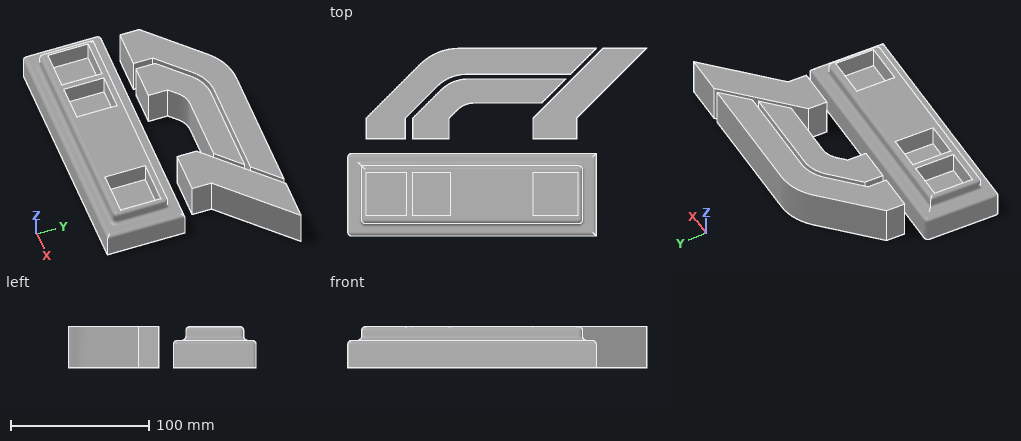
import cadquery as cq
import math

base_length = 180.0
base_width = 60.0
base_height = 20.0
step_height = 10.0
step_margin_end = 10.0
step_margin_side = 9.0
step_length = base_length - 2 * step_margin_end
step_width = base_width - 2 * step_margin_side
block_height = base_height + step_height
edge_radius = 3.0

bar_height = 30.0
bar_lift = 0.09
overall_width = 136.09
overall_length = 216.5
foot_front = base_width + 10.5
foot_length = 14.9
foot_back = foot_front + foot_length
bars_back = overall_width
bend_half_angle = math.radians(45 / 2)

slash_width = 31.8
slash_foot_right = overall_length - (bars_back - foot_back)
slash_foot_left = slash_foot_right - slash_width

slash_gap = 4.5

outer_foot_left = 13.3
outer_foot_width = 28.4
outer_arm_thickness = 19.0
outer_bend_radius = 40.0
outer_inside_radius = 30.0

arm_gap = 3.2
inner_foot_left = 47.0
inner_foot_width = 26.4
inner_arm_back = bars_back - outer_arm_thickness - arm_gap
inner_arm_thickness = 17.6
inner_bend_radius = 28.0
inner_inside_radius = 17.0

socket_clearance = 1.0
socket_depth = 16.0
socket_front = 15.0
socket_width = bar_height + socket_clearance
sockets = [
    (outer_foot_left, outer_foot_width + socket_clearance),
    (inner_foot_left, inner_foot_width + socket_clearance),
    (slash_foot_left, slash_width + socket_clearance),
]


def is_rounded_step_edge(edge):
    """True for every step edge but the sharp upright at the back-left corner."""
    center = edge.Center()
    upright = base_height < center.z < block_height
    back_left = center.x < base_length / 2 and center.y > base_width / 2
    return not (upright and back_left)


def make_block():
    block = cq.Workplane("XY").box(base_length, base_width, base_height, centered=False)
    block = block.edges("(|Z and <X) or >Z").fillet(edge_radius)

    step = cq.Workplane("XY").box(step_length, step_width, step_height, centered=False)
    block = block.union(step.translate((step_margin_end, step_margin_side, base_height)))

    margin = edge_radius / 2
    step_region = cq.selectors.BoxSelector(
        (step_margin_end - margin, step_margin_side - margin, base_height - margin),
        (
            step_margin_end + step_length + margin,
            step_margin_side + step_width + margin,
            block_height + margin,
        ),
    )
    step_edges = block.edges(step_region).filter(is_rounded_step_edge)
    return step_edges.fillet(edge_radius)


def make_base():
    base = make_block()
    for left, length in sockets:
        socket = cq.Workplane("XY").box(length, socket_width, socket_depth, centered=False)
        base = base.cut(socket.translate((left, socket_front, block_height - socket_depth)))
    return base


def bend(foot_x, arm_y, radius):
    """Start, middle and end of the arc from a 45 degree flank to an arm edge along X.

    The flank rises from the foot at (foot_x, foot_back); the arm edge lies at y = arm_y.
    """
    corner_x = foot_x + arm_y - foot_back
    tangent = radius * math.tan(bend_half_angle)
    tangent_leg = tangent * math.cos(math.radians(45))
    start = (corner_x - tangent_leg, arm_y - tangent_leg)
    end = (corner_x + tangent, arm_y)
    middle = (
        end[0] - radius * math.sin(bend_half_angle),
        arm_y - radius * (1 - math.cos(bend_half_angle)),
    )
    return start, middle, end


def make_bent_bar(left, foot_width, arm_back, arm_thickness, bend_radius, inside_radius):
    right = left + foot_width
    arm_front = arm_back - arm_thickness
    slash_offset = slash_foot_left - slash_gap - foot_back
    back_start, back_middle, back_end = bend(left, arm_back, bend_radius)
    front_start, front_middle, front_end = bend(right, arm_front, inside_radius)
    return (
        cq.Workplane("XY", origin=(0, 0, bar_lift))
        .moveTo(left, foot_front)
        .lineTo(left, foot_back)
        .lineTo(*back_start)
        .threePointArc(back_middle, back_end)
        .lineTo(slash_offset + arm_back, arm_back)
        .lineTo(slash_offset + arm_front, arm_front)
        .lineTo(*front_end)
        .threePointArc(front_middle, front_start)
        .lineTo(right, foot_back)
        .lineTo(right, foot_front)
        .close()
        .extrude(bar_height)
    )


def make_slash_bar():
    outline = [
        (slash_foot_left, foot_front),
        (slash_foot_left, foot_back),
        (overall_length - slash_width, bars_back),
        (overall_length, bars_back),
        (slash_foot_right, foot_back),
        (slash_foot_right, foot_front),
    ]
    plane = cq.Workplane("XY", origin=(0, 0, bar_lift))
    return plane.polyline(outline).close().extrude(bar_height)


base = make_base()
outer_bar = make_bent_bar(
    outer_foot_left,
    outer_foot_width,
    bars_back,
    outer_arm_thickness,
    outer_bend_radius,
    outer_inside_radius,
)
inner_bar = make_bent_bar(
    inner_foot_left,
    inner_foot_width,
    inner_arm_back,
    inner_arm_thickness,
    inner_bend_radius,
    inner_inside_radius,
)
slash_bar = make_slash_bar()

result = cq.Compound.makeCompound(
    [base.val(), outer_bar.val(), inner_bar.val(), slash_bar.val()]
)